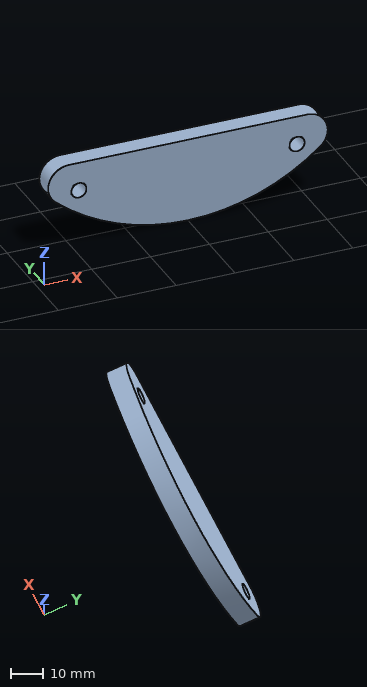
import cadquery as cq
import math

length = 95.0
thickness = 7.0
height = 28.8
end_radius = 7.0
hole_diameter = 5.1
hole_spacing = 74.1
hole_drop = 9.8

top_z = height / 2
bottom_z = -height / 2
end_x = length / 2 - end_radius
end_z = top_z - end_radius

rise = end_z - bottom_z
belly_radius = (end_x**2 + rise**2 - end_radius**2) / (2 * (rise - end_radius))
belly_center_z = bottom_z + belly_radius

tangent_angle = math.atan2(end_z - belly_center_z, end_x)
tangent_x = end_x + end_radius * math.cos(tangent_angle)
tangent_z = end_z + end_radius * math.sin(tangent_angle)

middle_angle = (math.pi / 2 + tangent_angle) / 2
end_middle_x = end_x + end_radius * math.cos(middle_angle)
end_middle_z = end_z + end_radius * math.sin(middle_angle)

plate = (
    cq.Workplane("XZ")
    .moveTo(-end_x, top_z)
    .lineTo(end_x, top_z)
    .threePointArc((end_middle_x, end_middle_z), (tangent_x, tangent_z))
    .threePointArc((0, bottom_z), (-tangent_x, tangent_z))
    .threePointArc((-end_middle_x, end_middle_z), (-end_x, top_z))
    .close()
    .extrude(thickness / 2, both=True)
)

hole_z = top_z - hole_drop
holes = (
    cq.Workplane("XZ")
    .pushPoints([(side * hole_spacing / 2, hole_z) for side in (-1, 1)])
    .circle(hole_diameter / 2)
    .extrude(thickness, both=True)
)

result = plate.cut(holes)